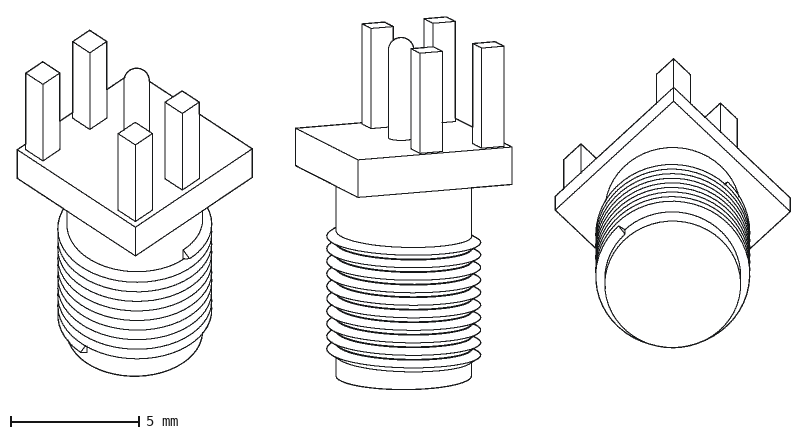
import cadquery as cq

total_height = 13.5
barrel_height = 8.0
plate_thickness = 1.5
plate_top = barrel_height + plate_thickness

plate_side = 6.5
barrel_radius = 5.3 / 2

thread_crest_radius = 6.02 / 2
thread_pitch = 0.5
thread_turns = 9.75
thread_root_width = 0.49
thread_embed = 0.01
thread_start_height = 0.8
thread_start_angle = -90.0

leg_side = 0.95
leg_spacing_x = 5.08
leg_spacing_y = 2.6
front_leg_y = -2.54

contact_radius = 1.0 / 2
contact_y = 0.11


def make_barrel():
    return cq.Workplane("XY").circle(barrel_radius).extrude(barrel_height)


def make_thread():
    """Sweep a V-shaped ridge along a left-handed helix."""
    helix = cq.Wire.makeHelix(
        thread_pitch, thread_pitch * thread_turns, barrel_radius, lefthand=True
    )
    half_root = thread_root_width / 2
    embedded_radius = barrel_radius - thread_embed
    ridge_profile = cq.Workplane("XZ").polyline([
        (embedded_radius, -half_root),
        (thread_crest_radius, 0),
        (embedded_radius, half_root),
    ]).close()
    ridge = ridge_profile.sweep(cq.Workplane(helix), isFrenet=True)
    ridge = ridge.rotate((0, 0, 0), (0, 0, 1), thread_start_angle)
    return ridge.translate((0, 0, thread_start_height))


def make_plate():
    return (
        cq.Workplane("XY", origin=(0, 0, barrel_height))
        .rect(plate_side, plate_side)
        .extrude(plate_thickness)
    )


def make_legs():
    leg_centres = [
        (side * leg_spacing_x / 2, front_leg_y + row * leg_spacing_y)
        for side in (-1, 1)
        for row in (0, 1)
    ]
    return (
        cq.Workplane("XY", origin=(0, 0, plate_top))
        .pushPoints(leg_centres)
        .rect(leg_side, leg_side)
        .extrude(total_height - plate_top)
    )


def make_contact():
    """Pin whose tip is a hemisphere level with the leg ends."""
    dome_base = total_height - contact_radius
    shaft = (
        cq.Workplane("XY", origin=(0, contact_y, plate_top))
        .circle(contact_radius)
        .extrude(dome_base - plate_top)
    )
    tip = cq.Workplane("XY", origin=(0, contact_y, dome_base)).sphere(contact_radius)
    return shaft.union(tip)


result = (
    make_barrel()
    .union(make_thread())
    .union(make_plate())
    .union(make_legs())
    .union(make_contact())
)